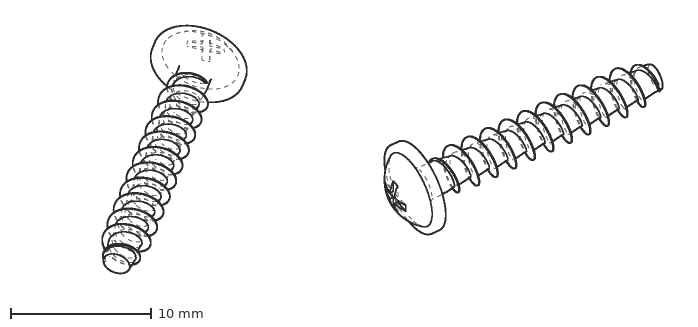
import cadquery as cq
import math


length = 22.33
flange_diameter = 7.0
head_height = 2.35

flange_thickness = 0.8
flange_edge_round = 0.07
dome_base_radius = 2.88
recess_width = 0.58
recess_depth = 0.27

shank_radius = 1.23
shank_length = 1.67
neck_fillet = 0.5
core_radius = 0.98
core_transition = 1.56

thread_turns = 9
first_full_crest = 2.72
last_full_crest = 16.88
pitch = (last_full_crest - first_full_crest) / thread_turns
crest_radius = 1.75
crest_width = 0.07
flank_angle = 15.0
run_in_start = 0.27
run_in_end = 2.23
run_in_crest_radius = 1.15
run_out_start = 16.97
run_out_end = 18.35
run_out_crest_radius = 1.35

land_radius = 1.14
land_gap = 0.02
tip_slope = 0.4
core_overlap = 0.011

root_radius = core_radius - core_overlap
flange_radius = flange_diameter / 2
seat = length - head_height
flange_top = seat + flange_thickness
shank_end = seat - shank_length


def make_body():
    """Core, shank, neck, flange and dome as one turned solid."""
    crown_radius = recess_width / math.sqrt(2)
    dome_height = length - flange_top
    drop = (dome_base_radius**2 - crown_radius**2 - dome_height**2) / (2 * dome_height)
    sphere_center = flange_top - drop
    sphere_radius = math.hypot(dome_base_radius, drop)
    half_way = math.atan2(dome_base_radius, drop) / 2
    dome_middle = (
        sphere_radius * math.sin(half_way),
        sphere_center + sphere_radius * math.cos(half_way),
    )
    neck_middle = neck_fillet * (1 - math.sqrt(0.5))
    return (
        cq.Workplane("XZ")
        .lineTo(core_radius, 0)
        .lineTo(core_radius, shank_end - core_transition)
        .lineTo(shank_radius, shank_end)
        .lineTo(shank_radius, seat - neck_fillet)
        .threePointArc(
            (shank_radius + neck_middle, seat - neck_middle),
            (shank_radius + neck_fillet, seat),
        )
        .lineTo(flange_radius - flange_edge_round, seat)
        .tangentArcPoint((flange_edge_round, flange_edge_round))
        .lineTo(flange_radius, flange_top - flange_edge_round)
        .tangentArcPoint((-flange_edge_round, flange_edge_round))
        .lineTo(dome_base_radius, flange_top)
        .threePointArc(dome_middle, (0, sphere_center + sphere_radius))
        .close()
        .revolve(360, (0, 0), (0, 1))
    )


def make_recess():
    """Shallow cross in the crown of the dome."""
    slot = cq.Workplane().box(flange_diameter, recess_width, 2 * recess_depth)
    cross = slot.union(slot.rotate((0, 0, 0), (0, 0, 1), 90))
    return cross.translate((0, 0, length))


def thread_profile(outer_radius):
    """Closed outline of land and tooth as (radius, height from the crest line)."""
    half_crest = crest_width / 2
    flank_slope = math.tan(math.radians(flank_angle))
    upper_base = half_crest + (outer_radius - root_radius) * flank_slope
    lower_base = half_crest + (outer_radius - land_radius) * flank_slope
    land_bottom = upper_base + land_gap - pitch
    return [
        (root_radius, land_bottom),
        (land_radius, -lower_base),
        (outer_radius, -half_crest),
        (outer_radius, half_crest),
        (root_radius, upper_base),
    ]


def thread_angle(z):
    """Angle in degrees at which the crest line passes height z, from +X."""
    return 360 * (z - first_full_crest) / pitch


def place_at_crest(shape, z, direction):
    """Put a shape drawn at the XZ origin on the crest line, running up (1) or down (-1)."""
    if direction < 0:
        shape = shape.rotate(cq.Vector(0, 0, 0), cq.Vector(1, 0, 0), 180)
    shape = shape.rotate(cq.Vector(0, 0, 0), cq.Vector(0, 0, 1), thread_angle(z))
    return shape.translate(cq.Vector(0, 0, z))


def corner_helix(start, end, turns):
    """Helix edge from one (radius, height) to another that is no nearer the axis."""
    rise = end[1] - start[1]
    flare = end[0] - start[0]
    base = cq.Vector(0, 0, start[1])
    if flare == 0:
        wire = cq.Wire.makeHelix(rise / turns, rise, start[0], base)
    else:
        slant = math.hypot(rise, flare)
        taper = math.degrees(math.atan2(flare, rise))
        wire = cq.Wire.makeHelix(slant / turns, slant, start[0], base, angle=taper)
    return wire.Edges()[0]


def thread_faces(narrow_radius, narrow_z, full_z):
    """Ruled faces of a thread stretch whose crest grows to full size at full_z."""
    direction = 1 if full_z > narrow_z else -1
    rise = abs(full_z - narrow_z)
    starts = [(r, direction * h) for r, h in thread_profile(narrow_radius)]
    ends = [(r, direction * h + rise) for r, h in thread_profile(crest_radius)]
    helices = [corner_helix(start, end, rise / pitch) for start, end in zip(starts, ends)]
    following = helices[1:] + helices[:1]
    return [
        place_at_crest(cq.Face.makeRuledSurface(edge, after), narrow_z, direction)
        for edge, after in zip(helices, following)
    ]


def end_face(outer_radius, z):
    corners = [cq.Vector(r, 0, h) for r, h in thread_profile(outer_radius)]
    outline = cq.Wire.makePolygon(corners, close=True)
    return place_at_crest(cq.Face.makeFromWires(outline), z, 1)


def make_thread():
    """Right-hand thread with a run-in at the tip and a run-out at the shank."""
    faces = [end_face(run_in_crest_radius, run_in_start)]
    faces += thread_faces(run_in_crest_radius, run_in_start, run_in_end)
    faces += thread_faces(crest_radius, run_in_end, run_out_start)
    faces += thread_faces(run_out_crest_radius, run_out_end, run_out_start)
    faces.append(end_face(run_out_crest_radius, run_out_end))
    return cq.Workplane(cq.Solid.makeSolid(cq.Shell.makeShell(faces)))


def make_tip_envelope():
    """Cone that tapers the land to the core at the tip, then clears the thread."""
    wide_radius = 2 * crest_radius
    wide_height = (wide_radius - core_radius) / tip_slope
    return (
        cq.Workplane("XZ")
        .lineTo(core_radius, 0)
        .lineTo(wide_radius, wide_height)
        .lineTo(wide_radius, length)
        .lineTo(0, length)
        .close()
        .revolve(360, (0, 0), (0, 1))
    )


thread = make_thread().intersect(make_tip_envelope())
screw = make_body().cut(make_recess()).union(thread)
result = screw.rotate((0, 0, 0), (1, 0, 0), -90)